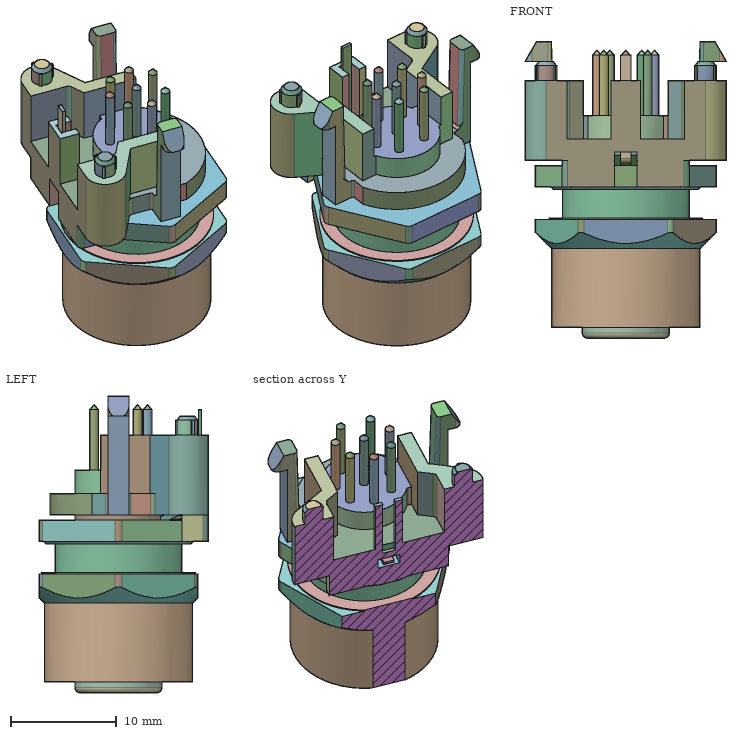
import cadquery as cq
import math

BARREL_BOTTOM = 1.05
NUT_BOTTOM = 8.45
NUT_TOP = 11.23
NUT_FACE_TOP = 11.35
FLANGE_FACE_BOTTOM = 14.03
FLANGE_BOTTOM = 14.28
FLANGE_TOP = 16.3
PLATE_BOTTOM = 16.8
WINDOW_TOP = 17.55
PLATE_TOP = 18.8
INSERT_TOP = 21.0
HOUSING_TOP = 24.3
PIN_SHOULDER = 26.7
PIN_TIP = 27.2
HOOK_BOTTOM = 26.1
TOTAL_HEIGHT = 28.0

BARREL_RADIUS = 7.0
NECK_RADIUS = 6.0
INSERT_RADIUS = 4.12
INSERT_END_FILLET = 0.5
HEX_ACROSS_FLATS = 14.98
HEX_CORNER_FILLET = 0.67
NUT_FACE_RADIUS = 7.25
FLANGE_FACE_RADIUS = 7.08

OVERALL_WIDTH = 19.0
WING_RADIUS = 2.0
WING_X = OVERALL_WIDTH / 2 - WING_RADIUS
FRONT_Y = -8.48
WING_Y = FRONT_Y + WING_RADIUS
WING_SLOPE = math.radians(30)
ARM_INNER_X = 4.0
ARM_OUTER_X = 5.38
ARM_BACK_Y = 1.68
ARM_INNER_BEND_Y = -3.67
POCKET_HALF_WIDTH = 5.55
PLATE_RADIUS = 6.5
PLATE_SIDE_FRONT_Y = -3.35
FOOT_BACK_Y = -6.0
HOUSING_FILLET = 0.5
WEB_FRONT_Y = -2.1

TOWER_WIDTH = 2.8
TOWER_BACK_Y = -6.5
SLOT_WIDTH = 1.23
SLOT_FRONT_Y = -8.0
SLOT_FLOOR_Z = 18.05
WINDOW_WIDTH = 2.13
WINDOW_BACK_Y = -6.8
SHELF_Z = 17.3
WEDGE_FRONT_Y = -4.75
WEDGE_BACK_Y = -3.3
FLANGE_FRONT_Y = -HEX_ACROSS_FLATS / 2
CONTACT_WIDTH = 1.05
CONTACT_THICKNESS = 0.3
CONTACT_FRONT_Y = -7.85
CONTACT_BACK_Y = CONTACT_FRONT_Y + CONTACT_THICKNESS
CONTACT_BEND_Z = 16.6
CONTACT_BEND_RADIUS = 0.42

PIN_RADIUS = 0.42
PIN_CIRCLE_RADIUS = 2.75
PIN_PITCH_ANGLE = 49
RING_PIN_COUNT = 7

PEG_RADIUS = 0.98
PEG_TIP_RADIUS = 0.7
PEG_SHOULDER = 25.73
PEG_TOP = 26.1
PEG_RIB_REACH = 1.12
PEG_RIB_WIDTH = 0.28
PEG_RIB_ANGLES = (90, 210, 330)

LATCH_WIDTH = 2.02
LATCH_OUTER_X = 8.1
LATCH_ROOT_X = 6.78
LATCH_SPLAY = 0.25
LATCH_TOP_INNER_X = 7.0
HOOK_TIP_X = OVERALL_WIDTH / 2
HOOK_TOP_X = 8.43
HOOK_CORNER_FILLET = 0.67
LATCH_POST_FILLET = 0.35
LATCH_ROOT_FILLET = 0.2

JOIN_OVERLAP = 0.28


def cylinder(radius, bottom, top):
    return cq.Workplane("XY").workplane(offset=bottom).circle(radius).extrude(top - bottom)


def cone(bottom_radius, top_radius, bottom, top):
    profile = [(0, bottom), (bottom_radius, bottom), (top_radius, top), (0, top)]
    return cq.Workplane("XZ").polyline(profile).close().revolve(360, (0, 0), (0, 1))


def box(x_range, y_range, z_range):
    (x0, x1), (y0, y1), (z0, z1) = x_range, y_range, z_range
    return cq.Workplane("XY").box(x1 - x0, y1 - y0, z1 - z0, centered=False).translate((x0, y0, z0))


def centred_box(width, y_range, z_range):
    return box((-width / 2, width / 2), y_range, z_range)


def hexagon(bottom, top):
    across_corners = HEX_ACROSS_FLATS / math.cos(math.radians(30))
    prism = cq.Workplane("XY").workplane(offset=bottom).polygon(6, across_corners).extrude(top - bottom)
    return prism.edges("|Z").fillet(HEX_CORNER_FILLET)


def mirrored_pair(body):
    return body.union(body.mirror("YZ"))


def make_nut():
    height = NUT_TOP - NUT_BOTTOM
    chamfer_cone = cone(BARREL_RADIUS, BARREL_RADIUS + height, NUT_BOTTOM, NUT_TOP)
    nut = hexagon(NUT_BOTTOM, NUT_TOP).intersect(chamfer_cone)
    return nut.union(cylinder(NUT_FACE_RADIUS, NUT_TOP, NUT_FACE_TOP))


def make_flange():
    chamfer = FLANGE_BOTTOM - FLANGE_FACE_BOTTOM
    face = cone(FLANGE_FACE_RADIUS - chamfer, FLANGE_FACE_RADIUS, FLANGE_FACE_BOTTOM, FLANGE_BOTTOM)
    return hexagon(FLANGE_BOTTOM, FLANGE_TOP).union(face)


def make_axial_body():
    insert = cylinder(INSERT_RADIUS, 0, INSERT_TOP).faces("<Z").edges().fillet(INSERT_END_FILLET)
    barrel = cylinder(BARREL_RADIUS, BARREL_BOTTOM, NUT_BOTTOM)
    neck = cylinder(NECK_RADIUS, NUT_BOTTOM, FLANGE_BOTTOM)
    return insert.union(barrel).union(make_nut()).union(neck).union(make_flange())


def make_wing():
    """Side wall on +X: a straight arm that widens into a round wing around the peg."""
    tangent_x = WING_X + WING_RADIUS * math.sin(WING_SLOPE)
    tangent_y = WING_Y + WING_RADIUS * math.cos(WING_SLOPE)
    arm_bend_y = tangent_y + (tangent_x - ARM_OUTER_X) * math.tan(WING_SLOPE)
    pocket_bend_y = ARM_INNER_BEND_Y - (POCKET_HALF_WIDTH - ARM_INNER_X) * math.tan(WING_SLOPE)
    wing = (
        cq.Workplane("XY")
        .workplane(offset=PLATE_BOTTOM)
        .moveTo(ARM_INNER_X, ARM_BACK_Y)
        .lineTo(ARM_OUTER_X, ARM_BACK_Y)
        .lineTo(ARM_OUTER_X, arm_bend_y)
        .lineTo(tangent_x, tangent_y)
        .threePointArc((WING_X + WING_RADIUS, WING_Y), (WING_X, FRONT_Y))
        .lineTo(POCKET_HALF_WIDTH, FRONT_Y)
        .lineTo(POCKET_HALF_WIDTH, pocket_bend_y)
        .lineTo(ARM_INNER_X, ARM_INNER_BEND_Y)
        .close()
        .extrude(HOUSING_TOP - PLATE_BOTTOM)
    )
    pocket_corner = cq.selectors.NearestToPointSelector((POCKET_HALF_WIDTH, pocket_bend_y, HOUSING_TOP))
    return wing.edges("|Z").edges(pocket_corner).fillet(HOUSING_FILLET)


def make_latch():
    """Snap latch on +X: a tapered post with an outward hook, on a short root."""
    inner_end = NECK_RADIUS - JOIN_OVERLAP
    half_width = LATCH_WIDTH / 2
    profile = [
        (inner_end, PLATE_BOTTOM),
        (LATCH_OUTER_X, PLATE_BOTTOM),
        (LATCH_OUTER_X, HOOK_BOTTOM),
        (HOOK_TIP_X, HOOK_BOTTOM),
        (HOOK_TOP_X, TOTAL_HEIGHT),
        (LATCH_TOP_INNER_X, TOTAL_HEIGHT),
        (LATCH_ROOT_X, PLATE_TOP + LATCH_SPLAY),
        (LATCH_ROOT_X - LATCH_SPLAY, PLATE_TOP),
        (inner_end, PLATE_TOP),
    ]
    latch = cq.Workplane("XZ").polyline(profile).close().extrude(half_width, both=True)
    post_middle_z = (PLATE_TOP + TOTAL_HEIGHT) / 2
    for y in (-half_width, half_width):
        post_edge = cq.selectors.NearestToPointSelector((LATCH_ROOT_X, y, post_middle_z))
        latch = latch.edges(post_edge).fillet(LATCH_POST_FILLET)
    y_range = (-half_width, half_width)
    rounded_plan = box((inner_end, HOOK_TIP_X), y_range, (PLATE_BOTTOM, TOTAL_HEIGHT))
    rounded_plan = rounded_plan.edges("|Z and >X").fillet(HOOK_CORNER_FILLET)
    return latch.intersect(rounded_plan)


def make_plate():
    """Floor of the housing: round at the back, straight-sided, narrower between the wings."""
    z_range = (PLATE_BOTTOM, PLATE_TOP)
    back = cylinder(PLATE_RADIUS, *z_range).intersect(
        centred_box(2 * NECK_RADIUS, (0, PLATE_RADIUS), z_range)
    )
    middle = centred_box(2 * NECK_RADIUS, (PLATE_SIDE_FRONT_Y, 0), z_range)
    front = centred_box(2 * POCKET_HALF_WIDTH, (FRONT_Y, PLATE_SIDE_FRONT_Y), z_range)
    plate = back.union(middle).union(front).union(mirrored_pair(make_latch()))
    middle_z = (PLATE_BOTTOM + PLATE_TOP) / 2
    for x in (-NECK_RADIUS, NECK_RADIUS):
        for y in (-LATCH_WIDTH / 2, LATCH_WIDTH / 2):
            corner = cq.selectors.NearestToPointSelector((x, y, middle_z))
            plate = plate.edges("|Z").edges(corner).fillet(LATCH_ROOT_FILLET)
    return plate


def make_foot():
    foot = centred_box(2 * NECK_RADIUS, (FRONT_Y, FOOT_BACK_Y), (FLANGE_BOTTOM, PLATE_BOTTOM))
    return foot.edges("|Z and <Y").fillet(HOUSING_FILLET)


def make_housing():
    web = centred_box(2 * ARM_INNER_X, (WEB_FRONT_Y, ARM_BACK_Y), (PLATE_BOTTOM, INSERT_TOP))
    tower = centred_box(TOWER_WIDTH, (FRONT_Y, TOWER_BACK_Y), (PLATE_BOTTOM, HOUSING_TOP))
    housing = make_plate().union(make_foot()).union(mirrored_pair(make_wing()))
    middle_z = (PLATE_BOTTOM + PLATE_TOP) / 2
    for x in (-NECK_RADIUS, NECK_RADIUS):
        wing_corner = cq.selectors.NearestToPointSelector((x, PLATE_SIDE_FRONT_Y, middle_z))
        housing = housing.edges("|Z").edges(wing_corner).fillet(HOUSING_FILLET)
    return housing.union(web).union(tower)


def extrude_side_profile(profile, width):
    """Extrude a (Y, Z) outline symmetrically about X = 0."""
    return cq.Workplane("YZ").polyline(profile).close().extrude(width / 2, both=True)


def make_contact_cavity():
    """Slot down the tower that meets a front window with a sloping back wall."""
    slot = centred_box(SLOT_WIDTH, (SLOT_FRONT_Y, TOWER_BACK_Y), (SLOT_FLOOR_Z, HOUSING_TOP))
    passage = centred_box(SLOT_WIDTH, (SLOT_FRONT_Y, CONTACT_BACK_Y), (WINDOW_TOP, SLOT_FLOOR_Z))
    window = extrude_side_profile(
        [
            (FRONT_Y, FLANGE_BOTTOM),
            (FLANGE_FRONT_Y, FLANGE_BOTTOM),
            (FLANGE_FRONT_Y, FLANGE_TOP),
            (WEDGE_FRONT_Y, FLANGE_TOP),
            (WINDOW_BACK_Y, SHELF_Z),
            (WINDOW_BACK_Y, WINDOW_TOP),
            (FRONT_Y, WINDOW_TOP),
        ],
        WINDOW_WIDTH,
    )
    return slot.union(passage).union(window)


def make_contact_wedge():
    """Slanted support between the flange top and the plate, in line with the window back wall."""
    rise_share = (PLATE_BOTTOM - FLANGE_TOP) / (SHELF_Z - FLANGE_TOP)
    lean = rise_share * (WINDOW_BACK_Y - WEDGE_FRONT_Y)
    profile = [
        (WEDGE_BACK_Y, FLANGE_TOP),
        (WEDGE_BACK_Y + lean, PLATE_BOTTOM),
        (WEDGE_FRONT_Y + lean, PLATE_BOTTOM),
        (WEDGE_FRONT_Y, FLANGE_TOP),
    ]
    return extrude_side_profile(profile, WINDOW_WIDTH)


def make_ground_contact():
    """Strip rising from the flange top, bent upright into a solder blade."""
    strip_top = FLANGE_TOP + CONTACT_THICKNESS
    profile = [
        (WEDGE_FRONT_Y, FLANGE_TOP),
        (WEDGE_FRONT_Y, strip_top),
        (CONTACT_BACK_Y, CONTACT_BEND_Z + CONTACT_THICKNESS),
        (CONTACT_BACK_Y, PIN_SHOULDER),
        (CONTACT_FRONT_Y, PIN_SHOULDER),
        (CONTACT_FRONT_Y, CONTACT_BEND_Z),
    ]
    strip = extrude_side_profile(profile, CONTACT_WIDTH)
    return strip.edges("|X").edges("<Y").edges("<Z").fillet(CONTACT_BEND_RADIUS)


def make_pins():
    shaft = cylinder(PIN_RADIUS, INSERT_TOP - JOIN_OVERLAP, PIN_SHOULDER)
    tip_profile = [(0, PIN_SHOULDER), (PIN_RADIUS, PIN_SHOULDER), (0, PIN_TIP)]
    tip = cq.Workplane("XZ").polyline(tip_profile).close().revolve(360, (0, 0), (0, 1))
    pin = shaft.union(tip)
    pins = pin
    middle = (RING_PIN_COUNT - 1) / 2
    for index in range(RING_PIN_COUNT):
        angle = math.radians(-90 + (index - middle) * PIN_PITCH_ANGLE)
        x = PIN_CIRCLE_RADIUS * math.cos(angle)
        y = PIN_CIRCLE_RADIUS * math.sin(angle)
        pins = pins.union(pin.translate((x, y, 0)))
    return pins


def make_peg():
    bottom = HOUSING_TOP - JOIN_OVERLAP
    peg = cylinder(PEG_RADIUS, bottom, PEG_SHOULDER)
    peg = peg.union(cone(PEG_RADIUS, PEG_TIP_RADIUS, PEG_SHOULDER, PEG_TOP))
    rib = box((0, PEG_RIB_REACH), (-PEG_RIB_WIDTH / 2, PEG_RIB_WIDTH / 2), (bottom, PEG_SHOULDER))
    for angle in PEG_RIB_ANGLES:
        peg = peg.union(rib.rotate((0, 0, 0), (0, 0, 1), angle))
    return peg


result = (
    make_axial_body()
    .union(make_housing())
    .cut(make_contact_cavity())
    .union(make_contact_wedge())
    .union(make_ground_contact())
    .union(make_pins())
    .union(mirrored_pair(make_peg().translate((WING_X, WING_Y, 0))))
)